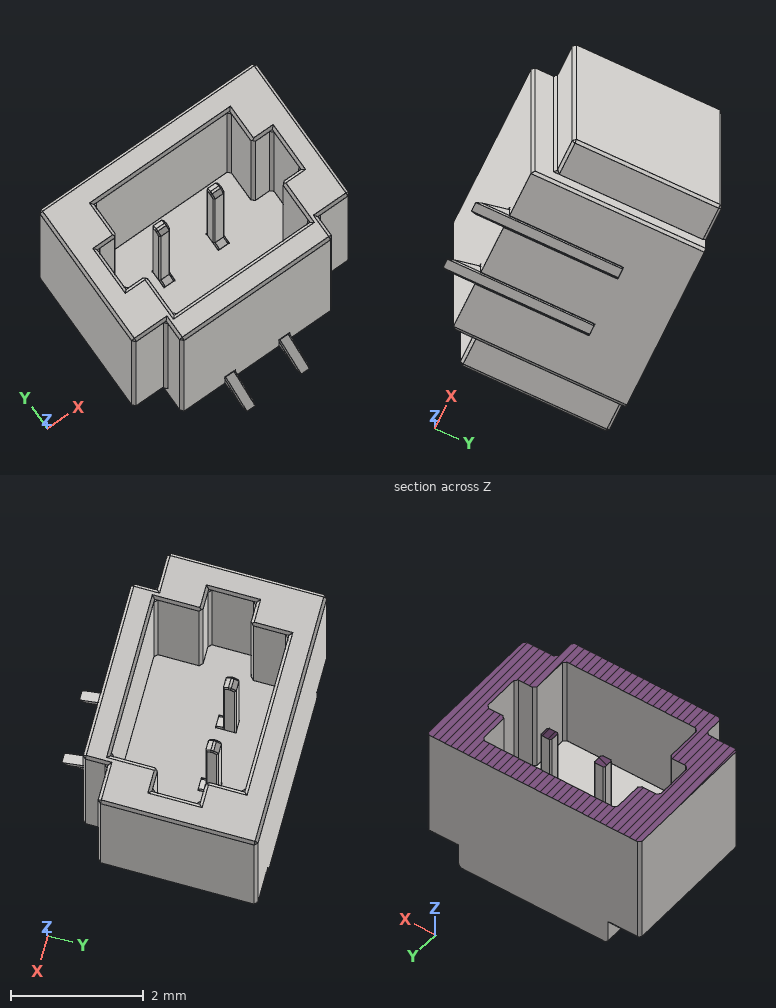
import cadquery as cq
import math


HEIGHT = 4.9
FLANGE_WIDTH = 4.0
CORE_WIDTH = 2.8
DEPTH = 2.9
TONGUE_DEPTH = 0.4
FOOT_HEIGHT = 0.4
EDGE_CHAMFER = 0.05

WALL = 0.4
SOCKET_WIDTH = 2.5
KEY_WIDTH = 3.225
KEY_LENGTH = 0.75
KEY_FRONT_Y = 1.145
FLOOR_Z = FOOT_HEIGHT + WALL
RIM_Z = HEIGHT - EDGE_CHAMFER

PIN_SPACING = 1.0
PIN_SIZE = 0.2
PIN_TOP_Z = 3.9
PIN_BACK_Y = 1.905
PIN_TIP_CHAMFER = 0.08
PIN_EDGE_CHAMFER = 0.025
TAIL_LENGTH = 0.55
TAIL_INSET = 0.02
TAIL_ANGLE = 30.6
LEG_ANGLE = 8.0
ROOT_ANGLE = 20.0
ROOT_LENGTH = 0.12

WINDOW_HEIGHT = 0.4

TAIL_SLOPE = math.tan(math.radians(TAIL_ANGLE))
LEG_SLOPE = math.tan(math.radians(LEG_ANGLE))
ROOT_SLOPE = math.tan(math.radians(ROOT_ANGLE))
PIN_FRONT_Y = PIN_BACK_Y - PIN_SIZE
ROOT_Y = PIN_FRONT_Y - ROOT_LENGTH
SHOULDER_Z = FLOOR_Z + ROOT_LENGTH * ROOT_SLOPE
TAIL_TOP_Z = (TAIL_LENGTH + TAIL_INSET) * TAIL_SLOPE
LEG_TOP_Z = TAIL_TOP_Z + (ROOT_Y - TAIL_INSET) * LEG_SLOPE
WINDOW_DEPTH = TAIL_INSET + (WINDOW_HEIGHT - TAIL_TOP_Z) / LEG_SLOPE
PIN_XS = [-PIN_SPACING / 2, PIN_SPACING / 2]


def block(width, y_front, y_back, z_bottom, z_top):
    """Box centred on X = 0 between the given Y and Z limits."""
    return (
        cq.Workplane("XY")
        .box(width, y_back - y_front, z_top - z_bottom, centered=(True, False, False))
        .translate((0, y_front, z_bottom))
    )


def corner_bar(x, y, z_bottom, z_top):
    """Upright diamond bar; centred on a corner, it bevels that corner by the edge chamfer."""
    return (
        cq.Workplane("XY")
        .workplane(offset=z_bottom)
        .center(x, y)
        .polygon(4, 2 * EDGE_CHAMFER)
        .extrude(z_top - z_bottom)
    )


def make_shell():
    """Solid outside of the housing: side flanges around a core that forms the tongue and foot."""
    flanges = block(FLANGE_WIDTH, TONGUE_DEPTH, DEPTH, FOOT_HEIGHT, HEIGHT).edges().chamfer(EDGE_CHAMFER)
    core = (
        block(CORE_WIDTH, 0, DEPTH, 0, HEIGHT)
        .edges(">Z or (<Y and |Z) or (<Z and |Y)")
        .chamfer(EDGE_CHAMFER)
    )
    shell = flanges.union(core)
    for x in (-CORE_WIDTH / 2, CORE_WIDTH / 2):
        shell = shell.union(corner_bar(x, TONGUE_DEPTH, FOOT_HEIGHT, RIM_Z))
    return shell


def flared_pocket(width, y_front, y_back):
    """Pocket space with bevelled upright corners and a rim that flares out to sharp corners."""
    pocket = block(width, y_front, y_back, FLOOR_Z, HEIGHT).edges("|Z").chamfer(EDGE_CHAMFER)
    flare = (
        block(
            width + 2 * EDGE_CHAMFER,
            y_front - EDGE_CHAMFER,
            y_back + EDGE_CHAMFER,
            RIM_Z,
            HEIGHT + EDGE_CHAMFER,
        )
        .faces("<Z")
        .chamfer(EDGE_CHAMFER)
    )
    return pocket.union(flare)


def make_socket():
    """Cross-shaped space inside the housing: main pocket, keyway and bevels where they cross."""
    key_back_y = KEY_FRONT_Y + KEY_LENGTH
    main = flared_pocket(SOCKET_WIDTH, WALL, DEPTH - WALL)
    keyway = flared_pocket(KEY_WIDTH, KEY_FRONT_Y, key_back_y)
    socket = main.union(keyway)
    for x in (-SOCKET_WIDTH / 2, SOCKET_WIDTH / 2):
        for y in (KEY_FRONT_Y, key_back_y):
            socket = socket.union(corner_bar(x, y, FLOOR_Z, HEIGHT))
    return socket


def make_window(x):
    """Opening in the tongue's front around the leg at x."""
    return block(PIN_SIZE, 0, WINDOW_DEPTH, 0, WINDOW_HEIGHT).translate((x, 0, 0))


def pin_blank(x):
    """Upright pin with a sloped leg running out through the front, all in one sharp-edged profile."""
    profile = [
        (-TAIL_LENGTH, 0),
        (PIN_BACK_Y, 0),
        (PIN_BACK_Y, PIN_TOP_Z - PIN_TIP_CHAMFER),
        (PIN_BACK_Y - PIN_TIP_CHAMFER, PIN_TOP_Z),
        (PIN_FRONT_Y + PIN_TIP_CHAMFER, PIN_TOP_Z),
        (PIN_FRONT_Y, PIN_TOP_Z - PIN_TIP_CHAMFER),
        (PIN_FRONT_Y, SHOULDER_Z),
        (ROOT_Y, FLOOR_Z),
        (ROOT_Y, LEG_TOP_Z),
        (TAIL_INSET, TAIL_TOP_Z),
    ]
    return (
        cq.Workplane("YZ")
        .polyline(profile)
        .close()
        .extrude(PIN_SIZE / 2, both=True)
        .translate((x, 0, 0))
    )


def make_pin(x):
    """Pin with the edges of both side faces chamfered."""
    return pin_blank(x).faces("<X or >X").chamfer(PIN_EDGE_CHAMFER)


def make_housing():
    """Socket housing with a window and a straight-sided passage for each pin."""
    body = make_shell().cut(make_socket())
    for x in PIN_XS:
        body = body.cut(make_window(x)).cut(pin_blank(x))
    return body


housing = make_housing().solids()
pins = [make_pin(x) for x in PIN_XS]

result = cq.Compound.makeCompound([housing.val(), *[pin.val() for pin in pins]])